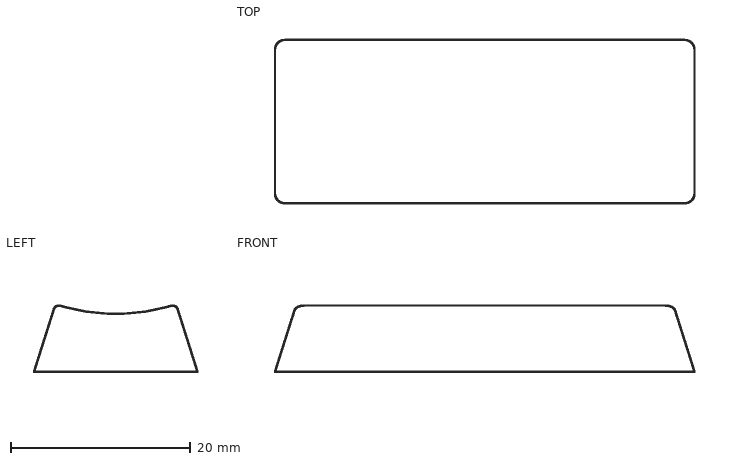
import cadquery as cq

LENGTH = 46.9
WIDTH = 18.3
WALL_TAPER = 17.6

DISH_FLOOR = 6.45
DISH_RADIUS = 21.35

CORNER_RADIUS = 1.2
RIM_RADIUS = 0.6

BLANK_HEIGHT = 9.38


def tapered_blank():
    """Solid block with four leaning walls and rounded corner edges."""
    blank = cq.Workplane("XY").rect(LENGTH, WIDTH).extrude(BLANK_HEIGHT, taper=WALL_TAPER)
    return blank.edges("not(#Z)").fillet(CORNER_RADIUS)


def dish_cutter():
    """Cylinder lying along X whose lowest line is the dish floor."""
    return (
        cq.Workplane("YZ")
        .center(0, DISH_FLOOR + DISH_RADIUS)
        .circle(DISH_RADIUS)
        .extrude(LENGTH / 2, both=True)
    )


def round_rim(body):
    """Round the whole edge where the dish meets the walls."""
    dish_face = body.faces(cq.selectors.NearestToPointSelector((0, 0, DISH_FLOOR)))
    return dish_face.edges().fillet(RIM_RADIUS)


result = round_rim(tapered_blank().cut(dish_cutter()))